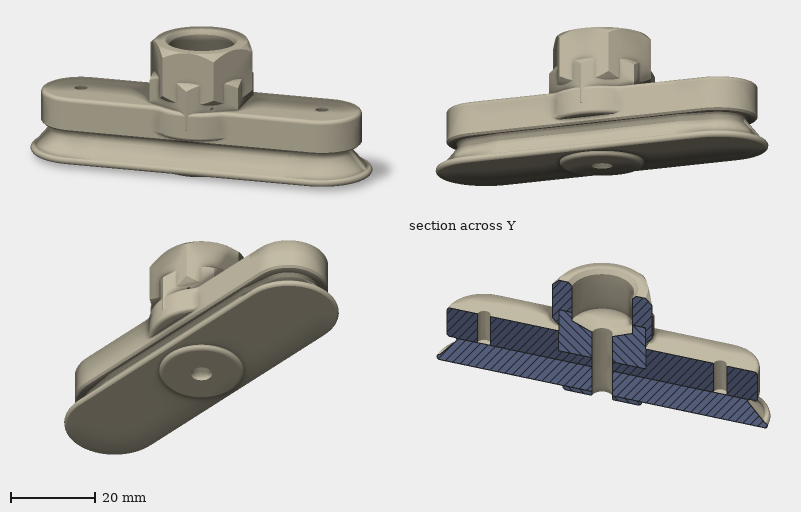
import cadquery as cq
import math

center_half = 29.95
passage_dia = 5.0

lip_radius = 12.0
lip_edge_radius = 11.5
lip_height = 1.6
skirt_base_z = 0.8
skirt_top_z = 5.4
neck_mid_z = 6.2
neck_flare_z = 6.9
cup_top_z = 7.3
neck_flare = 0.25
end_skirt = (10.65, 7.5, 7.0)
panel_skirt = (11.5, 8.7, 8.0)
panel_half = 23.15
taper_overrun = 1.1

rib_dia = 2.0
rib_top_z = 6.8
rib_sink = 0.545
rib_root = 0.5

disc_dia = 20.1
disc_height = 1.1
disc_round = 1.0

plate_radius = 9.5
plate_top_z = 15.6
plate_top_round = 0.9
plate_bottom_chamfer = 0.5
boss_dia = 25.0
boss_bottom_z = 8.7
boss_bottom_round = 0.8
boss_corner_radius = 3.0
plate_hole_dia = 3.2

hex_flats = 22.0
hex_turn = 30.0
hex_corners = hex_flats / math.cos(math.radians(30))
hex_corner_drop = (hex_corners - hex_flats) / 2
lower_hex_bottom_z = 9.9
lower_hex_top_z = 22.8
upper_hex_bottom_z = 17.3
hex_joint_z = 21.7
fitting_top_z = 30.2
bore_dia = 15.3
bore_depth = 10.9
bore_chamfer = 1.0
bore_cone_angle = 135.0
vent_dia = 1.0
vent_depth = 1.0
vent_z = 16.3
vent_direction = -60.0


def cylinder(diameter, bottom_z, top_z):
    return cq.Workplane("XY").workplane(offset=bottom_z).circle(diameter / 2).extrude(top_z - bottom_z)


def oblong(radius, bottom_z, top_z):
    """Upright plate with straight flanks and round ends about the two end centres."""
    plane = cq.Workplane("XY").workplane(offset=bottom_z)
    return plane.slot2D(2 * (center_half + radius), 2 * radius).extrude(top_z - bottom_z)


passage = cylinder(passage_dia, -disc_height, fitting_top_z)


def lip():
    """Oblong sealing lip with a bulging rim."""
    crest = (lip_radius, lip_height / 2)
    half = cq.Workplane("XZ").lineTo(lip_edge_radius, 0).threePointArc(crest, (lip_edge_radius, lip_height))
    end = half.lineTo(0, lip_height).close().revolve(360, (0, 0), (0, 1))
    section = cq.Workplane("YZ", origin=(-center_half, 0, 0)).moveTo(-lip_edge_radius, 0)
    section = section.lineTo(lip_edge_radius, 0).threePointArc(crest, (lip_edge_radius, lip_height))
    section = section.lineTo(-lip_edge_radius, lip_height)
    section = section.threePointArc((-lip_radius, lip_height / 2), (-lip_edge_radius, 0)).close()
    body = section.extrude(2 * center_half)
    for x in (-center_half, center_half):
        body = body.union(end.translate((x, 0, 0)))
    return body


def flank_up(wire, widths):
    """Draw the right-hand flank of the skirt from the foot to the top of the neck."""
    foot, shoulder, neck = widths
    wire = wire.lineTo(foot, skirt_base_z).lineTo(foot, lip_height).lineTo(shoulder, skirt_top_z)
    wire = wire.threePointArc((neck, neck_mid_z), (neck, neck_flare_z))
    return wire.lineTo(neck + neck_flare, cup_top_z)


def flank_down(wire, widths):
    """Draw the left-hand flank of the skirt from the top of the neck to the foot."""
    foot, shoulder, neck = widths
    wire = wire.lineTo(-neck - neck_flare, cup_top_z).lineTo(-neck, neck_flare_z)
    wire = wire.threePointArc((-neck, neck_mid_z), (-shoulder, skirt_top_z))
    return wire.lineTo(-foot, lip_height).lineTo(-foot, skirt_base_z)


def skirt_section(x, widths):
    """Full cross section of the skirt in the YZ plane at x."""
    wire = cq.Workplane("YZ", origin=(x, 0, 0)).moveTo(0, skirt_base_z)
    return flank_down(flank_up(wire, widths), widths).close()


def skirt_end():
    """Round end of the skirt, turned about its own centre on the +X side."""
    wire = flank_up(cq.Workplane("XZ").moveTo(0, skirt_base_z), end_skirt)
    turned = wire.lineTo(0, cup_top_z).close().revolve(360, (0, 0), (0, 1))
    return turned.translate((center_half, 0, 0))


def skirt_taper():
    """Flanks narrowing from the thick panel to the round end on the +X side."""
    end_widths = [math.sqrt(radius ** 2 - taper_overrun ** 2) for radius in end_skirt]
    start = skirt_section(panel_half, panel_skirt).val()
    end = skirt_section(center_half + taper_overrun, end_widths).val()
    return cq.Workplane(cq.Solid.makeLoft([start, end], True))


def end_rib():
    """Round-topped rib running down the slope of the +X end."""
    run = end_skirt[0] - end_skirt[1]
    rise = skirt_top_z - lip_height
    slope = math.hypot(run, rise)
    axis_x = center_half + end_skirt[0] - rib_sink * rise / slope
    axis_z = lip_height - rib_sink * run / slope
    tip_z = rib_top_z - rib_dia / 2
    length = (tip_z - axis_z) * slope / rise
    direction = cq.Vector(-run, 0, rise).normalized()
    foot = cq.Vector(axis_x, 0, axis_z) - direction * rib_root
    tip = foot + direction * (length + rib_root)
    bar = cq.Workplane(cq.Solid.makeCylinder(rib_dia / 2, length + rib_root, foot, direction))
    return bar.union(cq.Workplane("XY").sphere(rib_dia / 2).translate(tip.toTuple()))


def make_cup():
    panel = skirt_section(-panel_half, panel_skirt).extrude(2 * panel_half)
    cup = lip().union(panel)
    for feature in (skirt_taper(), skirt_end(), end_rib()):
        cup = cup.union(feature).union(feature.mirror("YZ"))
    return cup.cut(passage)


def make_base_disc():
    disc = cylinder(disc_dia, -disc_height, 0).faces("<Z").edges().fillet(disc_round)
    return disc.cut(passage)


def chamfered_hexagon(bottom_z, top_z, turn):
    """Hexagon with its corners turned down at 45 degrees at both ends."""
    height = top_z - bottom_z
    prism = cq.Workplane("XY").polygon(6, hex_corners).extrude(height)
    limit = cq.Workplane("XY").circle(hex_corners / 2).extrude(height)
    limit = limit.faces("<Z or >Z").edges().chamfer(hex_corner_drop)
    return prism.intersect(limit).rotate((0, 0, 0), (0, 0, 1), turn).translate((0, 0, bottom_z))


def upper_hexagon():
    return chamfered_hexagon(upper_hex_bottom_z, fitting_top_z, 0)


def lower_hexagon():
    """Lower hexagon, cut off at the joint where it lies inside the upper one."""
    above_joint = upper_hexagon().intersect(cylinder(hex_corners, hex_joint_z, fitting_top_z))
    return chamfered_hexagon(lower_hex_bottom_z, lower_hex_top_z, hex_turn).cut(above_joint)


def threaded_bore():
    """Bore with a chamfered mouth and a conical floor leading to the passage."""
    floor_z = fitting_top_z - bore_depth
    cone_depth = (bore_dia - passage_dia) / 2 / math.tan(math.radians(bore_cone_angle / 2))
    wire = cq.Workplane("XZ").moveTo(0, floor_z - cone_depth).lineTo(passage_dia / 2, floor_z - cone_depth)
    wire = wire.lineTo(bore_dia / 2, floor_z).lineTo(bore_dia / 2, fitting_top_z - bore_chamfer)
    wire = wire.lineTo(bore_dia / 2 + bore_chamfer, fitting_top_z).lineTo(0, fitting_top_z).close()
    return wire.revolve(360, (0, 0), (0, 1))


def vent_hole():
    """Small blind hole square to one flat of the lower hexagon."""
    drill = cq.Workplane("YZ").circle(vent_dia / 2).extrude(vent_depth)
    drill = drill.translate((hex_flats / 2 - vent_depth, 0, vent_z))
    return drill.rotate((0, 0, 0), (0, 0, 1), vent_direction)


def make_socket():
    """Lower part, seated in the holder plate."""
    return lower_hexagon().cut(threaded_bore()).cut(passage).cut(vent_hole())


def make_nut():
    """Upper part, recessed to fit over the lower hexagon."""
    return upper_hexagon().cut(lower_hexagon()).cut(threaded_bore())


def boss_outline_block():
    """Plate outline widened by the round boss, with rounded inner corners."""
    block = oblong(plate_radius, boss_bottom_z, plate_top_z)
    block = block.union(cylinder(boss_dia, boss_bottom_z, plate_top_z))
    corners = cq.selectors.BoxSelector(
        (-boss_dia / 2, -boss_dia, boss_bottom_z), (boss_dia / 2, boss_dia, plate_top_z))
    block = block.edges("|Z").edges(corners).fillet(boss_corner_radius)
    block = block.faces(">Z").edges().fillet(plate_top_round)
    return block.faces("<Z").edges().fillet(boss_bottom_round)


def make_holder():
    plate = oblong(plate_radius, cup_top_z, plate_top_z)
    plate = plate.faces(">Z").edges().fillet(plate_top_round)
    plate = plate.faces("<Z").edges().chamfer(plate_bottom_chamfer)
    holder = plate.union(boss_outline_block())
    for x in (-center_half, center_half):
        holder = holder.cut(cylinder(plate_hole_dia, cup_top_z, plate_top_z).translate((x, 0, 0)))
    return holder.cut(lower_hexagon()).cut(passage)


cup = make_cup()
base_disc = make_base_disc()
holder = make_holder()
socket = make_socket()
nut = make_nut()

bodies = [cup, base_disc, holder, socket, nut]
result = cq.Compound.makeCompound([body.solids().val() for body in bodies])